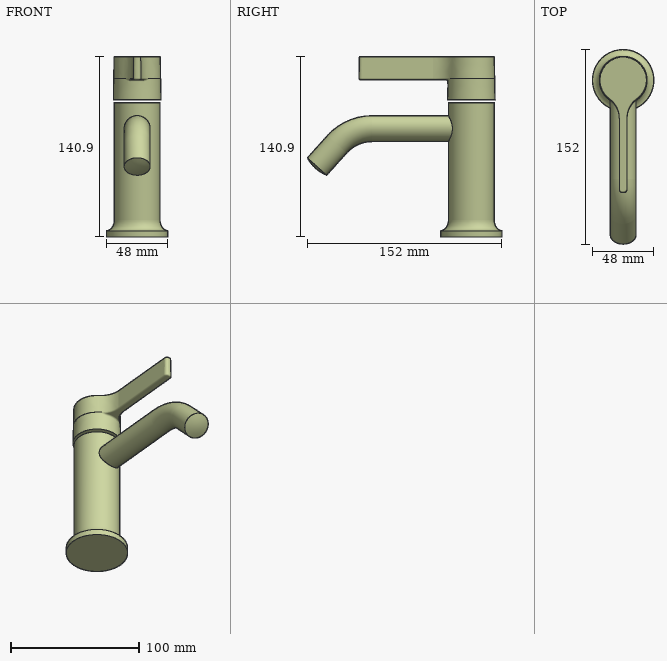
import cadquery as cq
import math

flange_radius = 24.0
flange_height = 5.0
column_radius = 18.0
column_top = 105.0
flare_top = 13.4
flare_middle_radius = 19.3
flare_middle_height = 8.2

spout_radius = 10.2
spout_height = 84.7
bend_start = 77.4
bend_radius = 36.8
bend_angle = 48.0
outlet_length = 23.4
outlet_bulge = 1.8

handle_bottom = 107.2
handle_top = 140.9
draft_angle = 1.0
cap_top_radius = 18.1
skirt_top_radius = 18.4
top_fillet = 0.8
lever_half_width = 2.7
lever_reach = 87.4
lever_tip_radius = 2.3
lever_bottom = 122.7
neck_start = 29.8
under_fillet = 1.2
corner_fillet = 1.4
box_margin = 0.2


def make_column():
    """Flanged tubular post with a concave flare at its foot."""
    return (
        cq.Workplane("XZ")
        .lineTo(0, column_top)
        .lineTo(column_radius, column_top)
        .lineTo(column_radius, flare_top)
        .tangentArcPoint((flare_middle_radius, flare_middle_height), relative=False)
        .tangentArcPoint((flange_radius, flange_height), relative=False)
        .lineTo(flange_radius, 0)
        .close()
        .revolve(360, (0, 0, 0), (0, 1, 0))
    )


def make_spout(column):
    """Round bar that leaves the column towards -Y and bends down, fitted to the column wall."""
    angle = math.radians(bend_angle)

    def bend_point(turn):
        drop = bend_radius * (1 - math.cos(turn))
        return (-bend_start - bend_radius * math.sin(turn), spout_height - drop)

    bend_end = bend_point(angle)
    outlet_direction = cq.Vector(0, -math.cos(angle), -math.sin(angle))
    outlet = cq.Vector(0, *bend_end) + outlet_direction * outlet_length
    path = (
        cq.Workplane("YZ")
        .moveTo(0, spout_height)
        .lineTo(-bend_start, spout_height)
        .threePointArc(bend_point(angle / 2), bend_end)
        .lineTo(outlet.y, outlet.z)
    )
    bar = cq.Workplane("XZ", origin=(0, 0, spout_height)).circle(spout_radius).sweep(path)

    side_normal = cq.Vector(1, 0, 0).cross(outlet_direction)
    sphere_radius = (spout_radius**2 + outlet_bulge**2) / (2 * outlet_bulge)
    mid_rise = math.sqrt(sphere_radius**2 - (spout_radius / 2) ** 2) - sphere_radius + outlet_bulge
    dome = (
        cq.Workplane(cq.Plane(outlet, xDir=(1, 0, 0), normal=side_normal))
        .lineTo(spout_radius, 0)
        .threePointArc((spout_radius / 2, mid_rise), (0, outlet_bulge))
        .close()
        .revolve(360, (0, 0, 0), (0, 1, 0))
    )
    return bar.union(dome).cut(column)


def make_handle():
    """Tapered cap with a thin lever blade that flows out of it through concave necks."""
    neck_radius = (neck_start**2 + lever_half_width**2 - cap_top_radius**2) / (
        2 * (cap_top_radius - lever_half_width))
    neck_x = lever_half_width + neck_radius
    to_cap = cap_top_radius / (cap_top_radius + neck_radius)
    joint_x = neck_x * to_cap
    joint_y = -neck_start * to_cap
    middle_angle = math.pi - math.atan2(joint_y + neck_start, neck_x - joint_x) / 2
    middle_x = neck_x + neck_radius * math.cos(middle_angle)
    middle_y = -neck_start + neck_radius * math.sin(middle_angle)
    corner_y = lever_tip_radius - lever_reach
    corner_x = lever_half_width - lever_tip_radius
    corner_offset = lever_tip_radius * math.sqrt(0.5)

    upper = (
        cq.Workplane("XY", origin=(0, 0, handle_top))
        .moveTo(joint_x, joint_y)
        .threePointArc((middle_x, middle_y), (lever_half_width, -neck_start))
        .lineTo(lever_half_width, corner_y)
        .threePointArc((corner_x + corner_offset, corner_y - corner_offset), (corner_x, -lever_reach))
        .lineTo(-corner_x, -lever_reach)
        .threePointArc((-corner_x - corner_offset, corner_y - corner_offset), (-lever_half_width, corner_y))
        .lineTo(-lever_half_width, -neck_start)
        .threePointArc((-middle_x, middle_y), (-joint_x, joint_y))
        .threePointArc((0, cap_top_radius), (joint_x, joint_y))
        .close()
        .extrude(lever_bottom - handle_top, taper=-draft_angle)
    )
    upper = upper.faces(">Z").edges().fillet(top_fillet)
    upper = upper.faces("<Z").edges().fillet(under_fillet)

    skirt_top = lever_bottom + under_fillet
    skirt = (
        cq.Workplane("XY", origin=(0, 0, skirt_top))
        .circle(skirt_top_radius)
        .extrude(handle_bottom - skirt_top, taper=-draft_angle)
    )
    handle = upper.union(skirt)

    corner_box = cq.selectors.BoxSelector(
        (-joint_x, -skirt_top_radius - box_margin, lever_bottom - box_margin),
        (joint_x, joint_y, skirt_top - box_margin))
    return handle.edges(corner_box).fillet(corner_fillet)


column = make_column()
spout = make_spout(column)
handle = make_handle()

result = cq.Compound.makeCompound([column.val(), spout.val(), handle.val()])